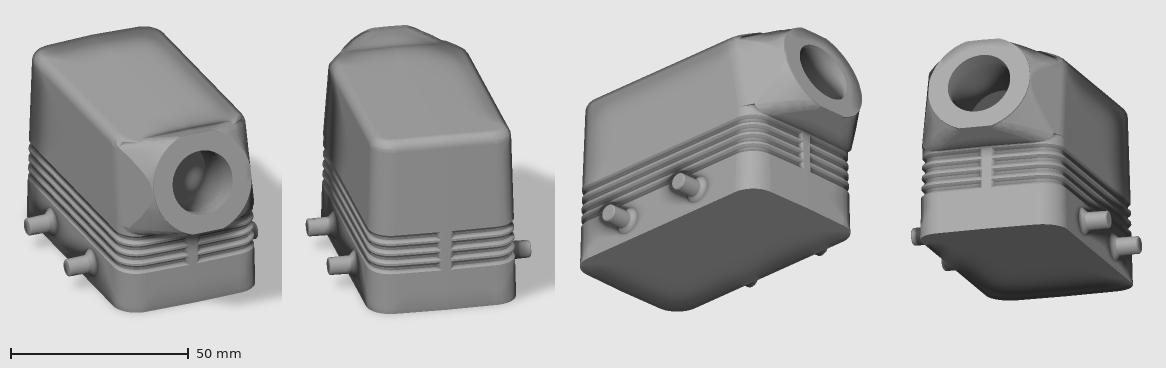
import cadquery as cq
import math

HOOD_LENGTH = 73.3
HOOD_WIDTH = 43.1
HOOD_HEIGHT = 52.15
COLLAR_TOP = 26.8
WALL_DRAFT = 1.5
CROWN_ANGLE = 1.2
CORNER_RADIUS = 7.1
ROOF_RADIUS = 3.0

GROOVE_COUNT = 4
GROOVE_BAND_TOP = 23.8
GROOVE_PITCH = 3.07
GROOVE_DEPTH = 0.85
GROOVE_FLOOR = 0.8
GROOVE_FLANK = 0.85
GROOVE_END_RUN = 1.05
GROOVE_GAP = 2.7

OUTLET_TILT = 15.0
OUTLET_X = 42.79
OUTLET_Z = 40.89
OUTLET_RADIUS = 15.0
OUTLET_HALF_HEIGHT = 14.25
OUTLET_TOP_DRAFT = 1.4
OUTLET_LENGTH = 11.5
RIM_LENGTH = 0.4
CONE_HALF_ANGLE = 35.0
CHEEK_ANGLE = 21.7
CHEEK_HALF_WIDTH = 14.9
CHEEK_BEND_RADIUS = 8.0
CHEEK_EDGE_RADIUS = 2.0
FLAT_EDGE_RADIUS = 4.0
ROOF_OVERLAP = 1.0
ROOT_OVERLAP = 0.1
BORE_DIAMETER = 18.4
BORE_DEPTH = 20.0

PEG_SPACING = 27.6
PEG_Z = 6.3
PEG_TIP_Y = 29.0
PEG_ROOT_RADIUS = 2.6
PEG_TIP_RADIUS = 2.5
PEG_CHAMFER = 0.3
FLARE_RADIUS = 4.2
FLARE_WALL_Y = 21.2
FLARE_TOP_Y = 22.75

DRAFT_SLOPE = math.tan(math.radians(WALL_DRAFT))
CROWN_SLOPE = math.tan(math.radians(CROWN_ANGLE))
GROOVE_OPENING = GROOVE_FLOOR + 2 * GROOVE_FLANK
GROOVE_BAND_BOTTOM = GROOVE_BAND_TOP - (GROOVE_COUNT - 1) * GROOVE_PITCH - GROOVE_OPENING
REACH = 2 * HOOD_LENGTH
ON_RIDGE = 1e-3


def plan_points(inset):
    """Six corners of the hood plan; the end walls come to a shallow ridge at Y = 0."""
    length = HOOD_LENGTH / 2 - inset / math.cos(math.radians(CROWN_ANGLE))
    width = HOOD_WIDTH / 2 - inset
    corner = length - width * CROWN_SLOPE
    return [
        (length, 0),
        (corner, width),
        (-corner, width),
        (-length, 0),
        (-corner, -width),
        (corner, -width),
    ]


def sharp_plan(z, inset):
    return cq.Workplane("XY").workplane(offset=z).polyline(plan_points(inset)).close()


def wall_inset(z):
    return z * DRAFT_SLOPE


def rounded_plan(z, inset):
    """Hood plan at height z with its four corners rounded."""
    wire = sharp_plan(z, inset).val()
    corners = [v for v in wire.Vertices() if abs(v.Y) > HOOD_WIDTH / 4]
    wire = wire.fillet2D(CORNER_RADIUS - inset, corners)
    return cq.Workplane("XY").workplane(offset=z).newObject([wire]).toPending()


def outlet_plane():
    """Local x runs along Y, local y up the tilted face, the normal points out of the bore."""
    tilt = math.radians(OUTLET_TILT)
    return cq.Plane(
        origin=(OUTLET_X, 0, OUTLET_Z),
        xDir=(0, 1, 0),
        normal=(math.cos(tilt), 0, math.sin(tilt)),
    )


def make_lower_hood():
    return rounded_plan(0, 0).extrude(GROOVE_BAND_TOP, taper=WALL_DRAFT)


def slab(low, high):
    """Layer between two heights, larger than the hood in plan."""
    return cq.Workplane("XY").workplane(offset=low).rect(REACH, REACH).extrude(high - low)


def side_wall_ends(half):
    """The two upright edges that bound the +Y wall, sorted from -X to +X."""
    wall = half.faces(">Y").val()
    upright = [edge for edge in wall.Edges() if edge.BoundingBox().zlen > HOOD_HEIGHT / 4]
    return sorted(upright, key=lambda edge: edge.Center().x)


def make_upper_hood():
    """Drafted box with a ridged roof, rounded at -X and folded in towards the outlet at +X."""
    base = GROOVE_BAND_TOP
    box = sharp_plan(base, wall_inset(base)).extrude(HOOD_HEIGHT - base, taper=WALL_DRAFT)
    eaves = HOOD_HEIGHT - HOOD_WIDTH / 2 * CROWN_SLOPE
    half_gable = [
        (0, base),
        (HOOD_WIDTH / 2, base),
        (HOOD_WIDTH / 2, eaves),
        (0, HOOD_HEIGHT),
    ]
    half_space = cq.Workplane("YZ").polyline(half_gable).close().extrude(HOOD_LENGTH / 2, both=True)
    half = box.intersect(half_space)
    corner_radius = CORNER_RADIUS - wall_inset(base)

    left_corner, right_corner = side_wall_ends(half)
    collar = cq.Workplane(half.val().fillet(corner_radius, [left_corner, right_corner]))
    collar = collar.intersect(slab(base, COLLAR_TOP))

    folded = half.intersect(make_cheek_wedge())
    left_corner = side_wall_ends(folded)[0]
    folded = cq.Workplane(folded.val().fillet(corner_radius, [left_corner]))
    cheek_bend = side_wall_ends(folded)[1]
    folded = cq.Workplane(folded.val().fillet(CHEEK_BEND_RADIUS, [cheek_bend]))
    roof_rim = folded.faces(">Z").edges().filter(lambda edge: edge.Center().y > ON_RIDGE)
    folded = folded.newObject(roof_rim.vals()).fillet(ROOF_RADIUS)
    folded = folded.intersect(make_outlet_cone())
    folded = folded.intersect(slab(COLLAR_TOP, HOOD_HEIGHT))
    folded = folded.cut(make_outlet_space())

    half = collar.union(folded).clean()
    return half.union(half.mirror("XZ"))


def make_outlet_block():
    """Tilted block behind the outlet face; its top carries the same ridge as the roof."""
    half_width = HOOD_WIDTH / 2
    shoulder = OUTLET_HALF_HEIGHT - half_width * CROWN_SLOPE
    outline = [
        (-half_width, -HOOD_HEIGHT),
        (half_width, -HOOD_HEIGHT),
        (half_width, shoulder),
        (0, OUTLET_HALF_HEIGHT),
        (-half_width, shoulder),
    ]
    frame = cq.Workplane(outlet_plane())
    block = frame.polyline(outline).close().extrude(-OUTLET_LENGTH, taper=OUTLET_TOP_DRAFT)
    below = frame.center(0, -OUTLET_HALF_HEIGHT - REACH / 2).rect(REACH, REACH)
    return block.cut(below.extrude(-OUTLET_LENGTH))


def make_outlet_space():
    """Room left in the hood for the outlet block, which fills it again."""
    top = OUTLET_HALF_HEIGHT - ROOF_OVERLAP
    space = cq.Workplane(outlet_plane()).center(0, top - REACH / 2).rect(REACH, REACH)
    return space.extrude(-OUTLET_LENGTH + ROOT_OVERLAP)


def make_cheek_wedge():
    """Space between the two converging flat sides, behind the outlet face."""
    back_width = CHEEK_HALF_WIDTH + REACH * math.tan(math.radians(CHEEK_ANGLE))
    frame = outlet_plane()
    side_frame = cq.Plane(origin=frame.origin, xDir=frame.zDir, normal=frame.yDir)
    outline = [
        (0, -CHEEK_HALF_WIDTH),
        (0, CHEEK_HALF_WIDTH),
        (-REACH, back_width),
        (-REACH, -back_width),
    ]
    return cq.Workplane(side_frame).polyline(outline).close().extrude(REACH, both=True)


def make_outlet_cone():
    """Round rim at the outlet face, widening into a cone behind it."""
    cone_slope = math.tan(math.radians(CONE_HALF_ANGLE))
    frame = outlet_plane()
    profile = [
        (0, 0),
        (OUTLET_RADIUS, 0),
        (OUTLET_RADIUS, -RIM_LENGTH),
        (OUTLET_RADIUS + REACH * cone_slope, -RIM_LENGTH - REACH),
        (0, -RIM_LENGTH - REACH),
    ]
    axial = cq.Plane(origin=frame.origin, xDir=frame.xDir, normal=-frame.yDir)
    return cq.Workplane(axial).polyline(profile).close().revolve(360, (0, 0), (0, 1))


def make_outlet():
    """Outlet block trimmed by the cheeks and the cone, with the edges along the cone softened."""
    outlet = make_outlet_block().intersect(make_cheek_wedge()).intersect(make_outlet_cone())
    frame = outlet_plane()
    cone_edges = outlet.edges("%HYPERBOLA").vals()
    flat_edges = [
        edge
        for edge in cone_edges
        if abs(frame.toLocalCoords(edge.Center()).y) > OUTLET_HALF_HEIGHT / 2
    ]
    cheek_edges = [edge for edge in cone_edges if edge not in flat_edges]
    shape = outlet.val().fillet(FLAT_EDGE_RADIUS, flat_edges)
    return cq.Workplane(shape.fillet(CHEEK_EDGE_RADIUS, cheek_edges))


def make_groove_cutter():
    """Trapezoidal grooves following the wall, mitred at the gap in each end wall."""
    flank_taper = math.degrees(math.atan(GROOVE_DEPTH / GROOVE_FLANK))
    cutter = cq.Workplane("XY")
    for index in range(GROOVE_COUNT):
        low = GROOVE_BAND_BOTTOM + index * GROOVE_PITCH
        high = low + GROOVE_OPENING
        inset = wall_inset((low + high) / 2)
        lower_core = rounded_plan(low, inset).extrude(GROOVE_FLANK, taper=flank_taper)
        middle_core = rounded_plan(low, inset + GROOVE_DEPTH).extrude(GROOVE_OPENING)
        upper_core = rounded_plan(high, inset).extrude(-GROOVE_FLANK, taper=flank_taper)
        ring = slab(low, high)
        cutter = cutter.add(ring.cut(lower_core).cut(middle_core).cut(upper_core))
    cutter = cutter.combine()
    surface = HOOD_LENGTH / 2 - wall_inset((GROOVE_BAND_TOP + GROOVE_BAND_BOTTOM) / 2)
    inner = surface - GROOVE_DEPTH
    for side in (-1, 1):
        strip = [
            (side * inner, -GROOVE_GAP / 2 - GROOVE_END_RUN),
            (side * surface, -GROOVE_GAP / 2),
            (side * REACH, -GROOVE_GAP / 2),
            (side * REACH, GROOVE_GAP / 2),
            (side * surface, GROOVE_GAP / 2),
            (side * inner, GROOVE_GAP / 2 + GROOVE_END_RUN),
        ]
        cutter = cutter.cut(cq.Workplane("XY").polyline(strip).close().extrude(HOOD_HEIGHT))
    return cutter


def make_peg(x, side):
    """Flared, slightly tapered peg standing on the side wall."""
    root_y = HOOD_WIDTH / 2 - CORNER_RADIUS
    profile = [
        (0, root_y),
        (FLARE_RADIUS, root_y),
        (FLARE_RADIUS, FLARE_WALL_Y),
        (PEG_ROOT_RADIUS, FLARE_TOP_Y),
        (PEG_TIP_RADIUS, PEG_TIP_Y - PEG_CHAMFER),
        (PEG_TIP_RADIUS - PEG_CHAMFER, PEG_TIP_Y),
        (0, PEG_TIP_Y),
    ]
    frame = cq.Plane(origin=(x, 0, PEG_Z), xDir=(1, 0, 0), normal=(0, 0, side))
    return cq.Workplane(frame).polyline(profile).close().revolve(360, (0, 0), (0, 1))


def make_bore():
    return cq.Workplane(outlet_plane()).circle(BORE_DIAMETER / 2).extrude(-BORE_DEPTH)


result = make_upper_hood().union(make_outlet()).union(make_lower_hood())
result = result.cut(make_groove_cutter())
for peg_x in (-PEG_SPACING / 2, PEG_SPACING / 2):
    for peg_side in (-1, 1):
        result = result.union(make_peg(peg_x, peg_side))
result = result.cut(make_bore())